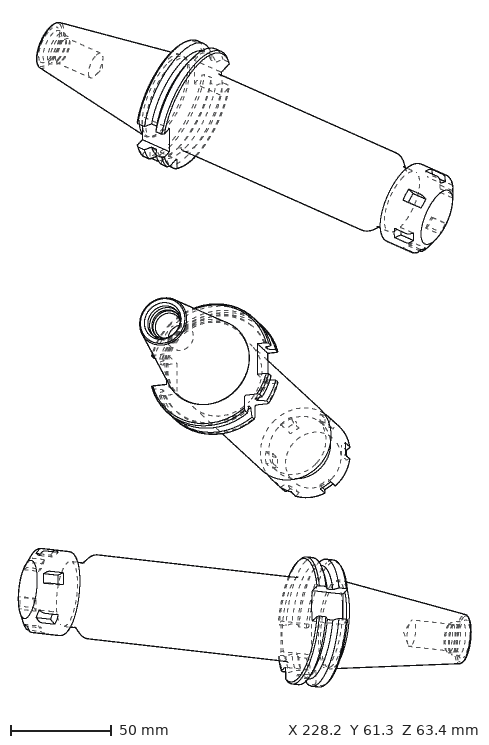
import cadquery as cq
import math

TOTAL_LENGTH = 228.2
GAUGE_X = 67.3
UNDERCUT_X = 68.7
FLANGE_X = 71.0
FLANGE_WIDTH = 16.0
FLANGE_END_X = FLANGE_X + FLANGE_WIDTH
SHANK_FILLET_X = 194.0
NUT_X = 207.7

TAPER_SMALL_RADIUS = 12.3
TAPER_LARGE_RADIUS = 22.1
TAPER_END_CHAMFER = 0.7
UNDERCUT_RADIUS = 21.7
UNDERCUT_FILLET = 0.7

FLANGE_RADIUS = 31.7
FLANGE_CHAMFER = 1.0
GROOVE_RADIUS = 28.3
GROOVE_START_X = 75.8
GROOVE_MOUTH_WIDTH = 6.8
GROOVE_WALL_ANGLE = math.radians(30)
GROOVE_WALL_RUN = (FLANGE_RADIUS - GROOVE_RADIUS) * math.tan(GROOVE_WALL_ANGLE)

DRIVE_SLOT_WIDTH = 16.0
FRONT_SLOT_FLOOR_Y = -25.0
BACK_SLOT_FLOOR_Y = 22.5
NOTCH_CORNER = 18.3
NOTCH_FILLET = 1.1

SHANK_RADIUS = 21.0
FLARE_RADIUS = 3.2
NECK_RADIUS = 16.2
SHOULDER_FILLET = 3.9
NECK_FILLET = 1.4
SHOULDER_SLOPE = math.radians(45)

BORE_MOUTH_RADIUS = 9.5
BORE_MOUTH_DEPTH = 1.8
COUNTERBORE_RADIUS = 8.5
COUNTERBORE_DEPTH = 4.5
THREAD_RELIEF_RADIUS = 7.5
THREAD_RELIEF_DEPTH = 7.0
BORE_RADIUS = 6.6
BORE_DEPTH = 27.5
DRILL_HALF_ANGLE = math.radians(59)

NUT_RADIUS = SHANK_RADIUS
NUT_BACK_FILLET = 1.4
NUT_FILLET_X = 223.5
NUT_FILLET = 1.8
NUT_CONE_SLOPE = math.radians(60)

SLOT_COUNT = 6
SLOT_MOUTH_WIDTH = 6.5
SLOT_FLOOR_WIDTH = 5.0
SLOT_START_X = 216.5
SLOT_FLOOR_RADIUS = 18.0
SLOT_END_RUN = 2.0


def arc_point(center_x, center_r, radius, angle):
    """Point on an arc, with the angle measured from the outward radial direction towards +X."""
    return (center_x + radius * math.sin(angle), center_r + radius * math.cos(angle))


def revolve_about_x(profile):
    """Turn a closed XY profile into a solid of revolution about the X axis."""
    return profile.close().revolve(360, (0, 0, 0), (1, 0, 0))


def turned_holder():
    """Taper, flange, shank and neck as one turned blank."""
    groove_end_x = GROOVE_START_X + GROOVE_MOUTH_WIDTH

    undercut_center_r = UNDERCUT_RADIUS + UNDERCUT_FILLET
    undercut_middle = arc_point(
        FLANGE_X - UNDERCUT_FILLET, undercut_center_r, UNDERCUT_FILLET, math.radians(135)
    )

    round_center_r = SHANK_RADIUS - SHOULDER_FILLET
    round_middle = arc_point(SHANK_FILLET_X, round_center_r, SHOULDER_FILLET, SHOULDER_SLOPE / 2)
    round_end = arc_point(SHANK_FILLET_X, round_center_r, SHOULDER_FILLET, SHOULDER_SLOPE)
    neck_center_r = NECK_RADIUS + NECK_FILLET
    shoulder_end_r = neck_center_r - NECK_FILLET * math.cos(SHOULDER_SLOPE)
    shoulder_end_x = round_end[0] + (round_end[1] - shoulder_end_r) / math.tan(SHOULDER_SLOPE)
    neck_x = shoulder_end_x + NECK_FILLET * math.sin(SHOULDER_SLOPE)
    neck_middle = arc_point(neck_x, neck_center_r, NECK_FILLET, math.pi + SHOULDER_SLOPE / 2)

    flare_x = FLANGE_END_X + FLARE_RADIUS
    flare_center_r = SHANK_RADIUS + FLARE_RADIUS
    flare_middle = arc_point(flare_x, flare_center_r, FLARE_RADIUS, math.radians(225))

    profile = (
        cq.Workplane("XY")
        .moveTo(0, 0)
        .lineTo(0, TAPER_SMALL_RADIUS - TAPER_END_CHAMFER)
        .lineTo(TAPER_END_CHAMFER, TAPER_SMALL_RADIUS)
        .lineTo(GAUGE_X, TAPER_LARGE_RADIUS)
        .lineTo(UNDERCUT_X, UNDERCUT_RADIUS)
        .lineTo(FLANGE_X - UNDERCUT_FILLET, UNDERCUT_RADIUS)
        .threePointArc(undercut_middle, (FLANGE_X, undercut_center_r))
        .lineTo(FLANGE_X, FLANGE_RADIUS - FLANGE_CHAMFER)
        .lineTo(FLANGE_X + FLANGE_CHAMFER, FLANGE_RADIUS)
        .lineTo(GROOVE_START_X, FLANGE_RADIUS)
        .lineTo(GROOVE_START_X + GROOVE_WALL_RUN, GROOVE_RADIUS)
        .lineTo(groove_end_x - GROOVE_WALL_RUN, GROOVE_RADIUS)
        .lineTo(groove_end_x, FLANGE_RADIUS)
        .lineTo(FLANGE_END_X - FLANGE_CHAMFER, FLANGE_RADIUS)
        .lineTo(FLANGE_END_X, FLANGE_RADIUS - FLANGE_CHAMFER)
        .lineTo(FLANGE_END_X, flare_center_r)
        .threePointArc(flare_middle, (flare_x, SHANK_RADIUS))
        .lineTo(SHANK_FILLET_X, SHANK_RADIUS)
        .threePointArc(round_middle, round_end)
        .lineTo(shoulder_end_x, shoulder_end_r)
        .threePointArc(neck_middle, (neck_x, NECK_RADIUS))
        .lineTo(NUT_X, NECK_RADIUS)
        .lineTo(NUT_X, 0)
    )
    return revolve_about_x(profile)


def drawbar_bore():
    """Stepped blind bore with a countersunk mouth and a drill-point bottom."""
    counterbore_step = COUNTERBORE_RADIUS - THREAD_RELIEF_RADIUS
    relief_step = THREAD_RELIEF_RADIUS - BORE_RADIUS
    tip_x = BORE_DEPTH + BORE_RADIUS / math.tan(DRILL_HALF_ANGLE)
    profile = (
        cq.Workplane("XY")
        .moveTo(0, 0)
        .lineTo(0, BORE_MOUTH_RADIUS)
        .lineTo(BORE_MOUTH_DEPTH, COUNTERBORE_RADIUS)
        .lineTo(COUNTERBORE_DEPTH, COUNTERBORE_RADIUS)
        .lineTo(COUNTERBORE_DEPTH + counterbore_step, THREAD_RELIEF_RADIUS)
        .lineTo(THREAD_RELIEF_DEPTH, THREAD_RELIEF_RADIUS)
        .lineTo(THREAD_RELIEF_DEPTH + relief_step, BORE_RADIUS)
        .lineTo(BORE_DEPTH, BORE_RADIUS)
        .lineTo(tip_x, 0)
    )
    return revolve_about_x(profile)


def flange_box(y_start, y_end, z_start, z_end):
    """Box across the flange and its flare between the given Y and Z limits."""
    return cq.Workplane("XY").box(
        FLANGE_WIDTH + FLARE_RADIUS, y_end - y_start, z_end - z_start, centered=False
    ).translate((FLANGE_X, y_start, z_start))


def drive_slots():
    """Two drive slots of unequal depth on opposite sides of the flange."""
    half_width = DRIVE_SLOT_WIDTH / 2
    front = flange_box(-FLANGE_RADIUS, FRONT_SLOT_FLOOR_Y, -half_width, half_width)
    back = flange_box(BACK_SLOT_FLOOR_Y, FLANGE_RADIUS, -half_width, half_width)
    return front.union(back)


def orientation_notch():
    """Corner notch through the flange rim, with a rounded inner corner."""
    notch = flange_box(-FLANGE_RADIUS, -NOTCH_CORNER, -FLANGE_RADIUS, -NOTCH_CORNER)
    return notch.edges("|X and >Y and >Z").fillet(NOTCH_FILLET)


def make_holder():
    return turned_holder().cut(drawbar_bore()).cut(drive_slots()).cut(orientation_notch())


def turned_nut():
    """Nut with a rounded back edge and a rounded, steep cone at the front."""
    back_x = NUT_X + NUT_BACK_FILLET
    back_center_r = NUT_RADIUS - NUT_BACK_FILLET
    back_middle = arc_point(back_x, back_center_r, NUT_BACK_FILLET, math.radians(-45))
    front_center_r = NUT_RADIUS - NUT_FILLET
    fillet_middle = arc_point(NUT_FILLET_X, front_center_r, NUT_FILLET, NUT_CONE_SLOPE / 2)
    fillet_end = arc_point(NUT_FILLET_X, front_center_r, NUT_FILLET, NUT_CONE_SLOPE)
    face_radius = fillet_end[1] - (TOTAL_LENGTH - fillet_end[0]) * math.tan(NUT_CONE_SLOPE)
    profile = (
        cq.Workplane("XY")
        .moveTo(NUT_X, 0)
        .lineTo(NUT_X, back_center_r)
        .threePointArc(back_middle, (back_x, NUT_RADIUS))
        .lineTo(NUT_FILLET_X, NUT_RADIUS)
        .threePointArc(fillet_middle, fillet_end)
        .lineTo(TOTAL_LENGTH, face_radius)
        .lineTo(TOTAL_LENGTH, 0)
    )
    return revolve_about_x(profile)


def spanner_slot(angle):
    """Front-opening cutter with flared sides and a sloped end, turned about X from the -Y side."""
    floor_y = -SLOT_FLOOR_RADIUS
    mouth_y = -NUT_RADIUS
    flared = (
        cq.Workplane("YZ", origin=(SLOT_START_X, 0, 0))
        .moveTo(floor_y, -SLOT_FLOOR_WIDTH / 2)
        .lineTo(mouth_y, -SLOT_MOUTH_WIDTH / 2)
        .lineTo(mouth_y, SLOT_MOUTH_WIDTH / 2)
        .lineTo(floor_y, SLOT_FLOOR_WIDTH / 2)
        .close()
        .extrude(TOTAL_LENGTH - SLOT_START_X)
    )
    sloped_end = (
        cq.Workplane("XY")
        .moveTo(SLOT_START_X, mouth_y)
        .lineTo(SLOT_START_X + SLOT_END_RUN, floor_y)
        .lineTo(TOTAL_LENGTH, floor_y)
        .lineTo(TOTAL_LENGTH, mouth_y)
        .close()
        .extrude(SLOT_MOUTH_WIDTH / 2, both=True)
    )
    slot = flared.intersect(sloped_end)
    return slot.rotate((0, 0, 0), (1, 0, 0), angle)


def make_nut():
    nut = turned_nut()
    for index in range(SLOT_COUNT):
        nut = nut.cut(spanner_slot(index * 360 / SLOT_COUNT))
    return nut


holder = make_holder()
nut = make_nut()
result = cq.Compound.makeCompound([holder.val(), nut.val()])